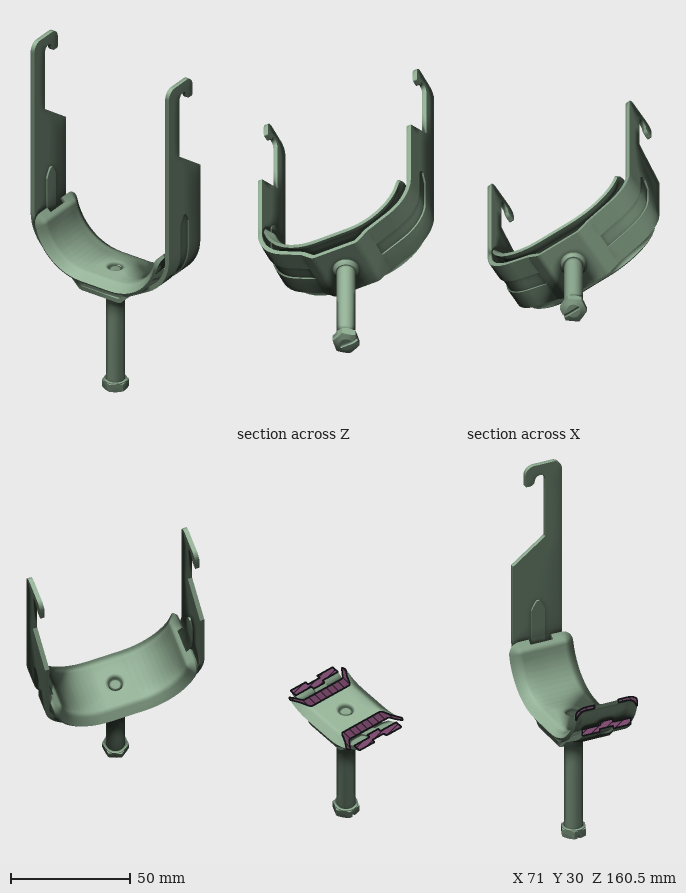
import cadquery as cq
import math


STRAP_HALF_WIDTH_X = 35.5
STRAP_HALF_WIDTH_Y = 11.4
STRAP_THICKNESS = 2.0
STRAP_TOP = 160.5
BASE_BOTTOM = 49.8
BASE_BEND_RADIUS = 3.2
DIP_X = 15.4
DIP_Z = 54.9
DIP_ANGLE = 45.0
WALL_ANGLE = 30.0
SHOULDER_RADIUS = 21.0

SHOULDER_FRONT_Z = 125.7
SHOULDER_BACK_Z = 114.8
NOTCH_DIAMETER = 5.0
NOTCH_FRONT_Y = -3.7
NOTCH_TOP = 155.5
HOOK_BACK_Y = 5.6
HOOK_TIP_Z = 151.2
HOOK_CORNER_RADIUS = 4.0
HOOK_TIP_OUTER_RADIUS = 0.6
HOOK_TIP_INNER_RADIUS = 2.1

RIB_DEPTH = 0.8
RIB_HALF_WIDTH = 3.0
RIB_TOP = 96.0
RIB_POINT_HEIGHT = 4.2
RIB_TIP_HALF_WIDTH = 0.6
RIB_SHOULDER_HALF_WIDTH = 2.1

COLLAR_TOP_RADIUS = 5.6
COLLAR_MIDDLE_RADIUS = 5.3
COLLAR_BOTTOM_RADIUS = 4.5
COLLAR_HEIGHT = 2.1

SADDLE_TOP = 59.2
SADDLE_THICKNESS = 1.3
SADDLE_FLAT_HALF_LENGTH = 7.46
SADDLE_RADIUS = 20.5
SADDLE_SWEEP = 77.0
SADDLE_HALF_WIDTH = 15.0
FLANGE_START_Y = 10.0
FLANGE_ANGLE = 34.0
FLANGE_BEND_RADIUS = 3.4
END_NOTCH_X = 29.5
END_NOTCH_HALF_WIDTH = 5.3
HOLE_DIAMETER = 6.0
HOLE_MOUTH_DIAMETER = 9.6

SHANK_DIAMETER = 8.0
SHANK_TOP = 53.1
HEAD_FLATS = 10.0
HEAD_HEIGHT = 5.0
HEAD_TURN = 38.0
HEAD_FACE_RADIUS = 2.9
HEAD_CHAMFER_HEIGHT = 1.1
WASHER_FACE_HEIGHT = 0.5
SLOT_WIDTH = 1.5
SLOT_DEPTH = 2.4
TIP_COLLAR_DIAMETER = 6.6
TIP_COLLAR_Z = 54.1
TIP_COLLAR_TOP = 54.9
NECK_DIAMETER = 5.0
TIP_FACE_DIAMETER = 4.0
TIP_TOP = 58.0

LARGE = 321.0


def box(x0, x1, y0, y1, z0, z1):
    """Axis-aligned block between the given limits."""
    return cq.Workplane().box(x1 - x0, y1 - y0, z1 - z0, centered=False).translate((x0, y0, z0))


def turned(points):
    """Solid of revolution about Z from (radius, height) points."""
    return cq.Workplane("XZ").polyline(points).close().revolve(360, (0, 0), (0, 1))


def strap_envelope():
    """Filled U outline of the strap's outer face, as deep as the strap is wide."""
    wall = math.radians(WALL_ANGLE)
    arc_centre_x = STRAP_HALF_WIDTH_X - SHOULDER_RADIUS
    wall_top_x = arc_centre_x + SHOULDER_RADIUS * math.sin(wall)
    wall_top_z = DIP_Z + (wall_top_x - DIP_X) * math.tan(wall)
    arc_centre_z = wall_top_z + SHOULDER_RADIUS * math.cos(wall)
    mid = math.radians((90 - WALL_ANGLE) / 2)
    arc_mid_x = arc_centre_x + SHOULDER_RADIUS * math.cos(mid)
    arc_mid_z = arc_centre_z - SHOULDER_RADIUS * math.sin(mid)

    dip = math.radians(DIP_ANGLE)
    base_corner_x = DIP_X - (DIP_Z - BASE_BOTTOM) / math.tan(dip)
    setback = BASE_BEND_RADIUS * math.tan(dip / 2)
    base_end_x = base_corner_x - setback
    bend_top_x = base_corner_x + setback * math.cos(dip)
    bend_top_z = BASE_BOTTOM + setback * math.sin(dip)
    bend_mid_x = base_end_x + BASE_BEND_RADIUS * math.sin(dip / 2)
    bend_mid_z = BASE_BOTTOM + BASE_BEND_RADIUS * (1 - math.cos(dip / 2))

    open_top = STRAP_TOP + 2 * STRAP_THICKNESS
    return (
        cq.Workplane("XZ", origin=(0, STRAP_HALF_WIDTH_Y, 0))
        .moveTo(-base_end_x, BASE_BOTTOM)
        .lineTo(base_end_x, BASE_BOTTOM)
        .threePointArc((bend_mid_x, bend_mid_z), (bend_top_x, bend_top_z))
        .lineTo(DIP_X, DIP_Z)
        .lineTo(wall_top_x, wall_top_z)
        .threePointArc((arc_mid_x, arc_mid_z), (STRAP_HALF_WIDTH_X, arc_centre_z))
        .lineTo(STRAP_HALF_WIDTH_X, open_top)
        .lineTo(-STRAP_HALF_WIDTH_X, open_top)
        .lineTo(-STRAP_HALF_WIDTH_X, arc_centre_z)
        .threePointArc((-arc_mid_x, arc_mid_z), (-wall_top_x, wall_top_z))
        .lineTo(-DIP_X, DIP_Z)
        .lineTo(-bend_top_x, bend_top_z)
        .threePointArc((-bend_mid_x, bend_mid_z), (-base_end_x, BASE_BOTTOM))
        .close()
    )


def strap_fill(inset):
    """Solid bounded by the strap's outer face moved inwards by inset."""
    outline = strap_envelope()
    if inset > 0:
        outline = outline.offset2D(-inset)
    return outline.extrude(2 * STRAP_HALF_WIDTH_Y)


def arm_silhouette():
    """Side shape of the arms with their hooks, running through the full length in X."""
    notch_radius = NOTCH_DIAMETER / 2
    notch_back_y = NOTCH_FRONT_Y + NOTCH_DIAMETER
    notch_centre_z = NOTCH_TOP - notch_radius
    blank = (
        cq.Workplane("YZ", origin=(-LARGE / 2, 0, 0))
        .moveTo(-STRAP_HALF_WIDTH_Y, 0)
        .lineTo(-STRAP_HALF_WIDTH_Y, STRAP_TOP)
        .lineTo(HOOK_BACK_Y, STRAP_TOP)
        .lineTo(HOOK_BACK_Y, HOOK_TIP_Z)
        .lineTo(notch_back_y, HOOK_TIP_Z)
        .lineTo(notch_back_y, notch_centre_z)
        .threePointArc(
            (notch_back_y - notch_radius, NOTCH_TOP), (NOTCH_FRONT_Y, notch_centre_z)
        )
        .lineTo(NOTCH_FRONT_Y, SHOULDER_FRONT_Z)
        .lineTo(STRAP_HALF_WIDTH_Y, SHOULDER_BACK_Z)
        .lineTo(STRAP_HALF_WIDTH_Y, 0)
        .close()
        .extrude(LARGE)
    )
    tip_edges = (
        (HOOK_BACK_Y, HOOK_TIP_OUTER_RADIUS),
        (notch_back_y, HOOK_TIP_INNER_RADIUS),
    )
    for edge_y, radius in tip_edges:
        edge = cq.selectors.NearestToPointSelector((0, edge_y, HOOK_TIP_Z))
        blank = blank.edges("|X").edges(edge).fillet(radius)
    return blank.faces(">Z").edges("|X").fillet(HOOK_CORNER_RADIUS)


def rib_zone(side):
    """Region of one arm (side = -1 or 1) taken up by its rib."""
    point_base_z = RIB_TOP - RIB_POINT_HEIGHT
    curve_z = RIB_TOP - RIB_POINT_HEIGHT / 2
    arch = (
        cq.Workplane("YZ", origin=(-LARGE / 2, 0, 0))
        .moveTo(-RIB_HALF_WIDTH, 0)
        .lineTo(RIB_HALF_WIDTH, 0)
        .lineTo(RIB_HALF_WIDTH, point_base_z)
        .threePointArc((RIB_SHOULDER_HALF_WIDTH, curve_z), (RIB_TIP_HALF_WIDTH, RIB_TOP))
        .lineTo(-RIB_TIP_HALF_WIDTH, RIB_TOP)
        .threePointArc((-RIB_SHOULDER_HALF_WIDTH, curve_z), (-RIB_HALF_WIDTH, point_base_z))
        .close()
        .extrude(LARGE)
    )
    wall = math.radians(WALL_ANGLE)
    reach = 2 * STRAP_THICKNESS
    across_x = reach * math.sin(wall)
    across_z = reach * math.cos(wall)
    beyond_dip = (
        cq.Workplane("XZ", origin=(0, STRAP_HALF_WIDTH_Y, 0))
        .moveTo(side * (DIP_X + across_x), DIP_Z - across_z)
        .lineTo(side * (DIP_X - across_x), DIP_Z + across_z)
        .lineTo(side * (DIP_X - across_x), STRAP_TOP)
        .lineTo(side * 2 * STRAP_HALF_WIDTH_X, STRAP_TOP)
        .lineTo(side * 2 * STRAP_HALF_WIDTH_X, DIP_Z - across_z)
        .close()
        .extrude(2 * STRAP_HALF_WIDTH_Y)
    )
    return arch.intersect(beyond_dip)


def threaded_collar():
    """Tapered collar formed below the base around the bolt hole."""
    collar_bottom = BASE_BOTTOM - COLLAR_HEIGHT
    return turned([
        (0, BASE_BOTTOM),
        (COLLAR_TOP_RADIUS, BASE_BOTTOM),
        (COLLAR_MIDDLE_RADIUS, BASE_BOTTOM - COLLAR_HEIGHT / 2),
        (COLLAR_BOTTOM_RADIUS, collar_bottom),
        (0, collar_bottom),
    ])


def make_strap():
    inner_fill = strap_fill(STRAP_THICKNESS)
    strap = strap_fill(0).cut(inner_fill).intersect(arm_silhouette())
    rib_layer = inner_fill.cut(strap_fill(STRAP_THICKNESS + RIB_DEPTH))
    groove_layer = strap_fill(0).cut(strap_fill(RIB_DEPTH))
    for side in (-1, 1):
        zone = rib_zone(side)
        strap = strap.union(rib_layer.intersect(zone)).cut(groove_layer.intersect(zone))
    bolt_hole = cq.Workplane().circle(SHANK_DIAMETER / 2).extrude(SADDLE_TOP)
    return strap.union(threaded_collar()).cut(bolt_hole)


def flange_outline(plane, start):
    """Sheet section from the middle (u = 0) out to the flared rim that starts at u = start."""
    bend = math.radians(FLANGE_ANGLE)
    rim_u = start + SADDLE_HALF_WIDTH - FLANGE_START_Y
    inner_radius = FLANGE_BEND_RADIUS - SADDLE_THICKNESS
    bend_centre_v = SADDLE_TOP - FLANGE_BEND_RADIUS

    def on_bend(radius, angle):
        return (start + radius * math.sin(angle), bend_centre_v + radius * math.cos(angle))

    upper_end = on_bend(FLANGE_BEND_RADIUS, bend)
    rim_v = upper_end[1] - (rim_u - upper_end[0]) * math.tan(bend)
    rim_lower = (rim_u - SADDLE_THICKNESS * math.sin(bend), rim_v - SADDLE_THICKNESS * math.cos(bend))
    outline = cq.Workplane(plane).moveTo(0, SADDLE_TOP)
    if start > 0:
        outline = outline.lineTo(start, SADDLE_TOP)
    outline = (
        outline.threePointArc(on_bend(FLANGE_BEND_RADIUS, bend / 2), upper_end)
        .lineTo(rim_u, rim_v)
        .lineTo(*rim_lower)
        .lineTo(*on_bend(inner_radius, bend))
        .threePointArc(on_bend(inner_radius, bend / 2), on_bend(inner_radius, 0))
    )
    if start > 0:
        outline = outline.lineTo(0, SADDLE_TOP - SADDLE_THICKNESS)
    return outline.close()


def saddle_quarter():
    """The +X, +Y quarter of the saddle: flat, curved side, flared end and rounded corner."""
    end_x = SADDLE_FLAT_HALF_LENGTH
    axis_z = SADDLE_TOP + SADDLE_RADIUS
    flat = flange_outline("YZ", FLANGE_START_Y).extrude(end_x)
    curved = (
        flange_outline(cq.Plane.YZ((end_x, 0, 0)), FLANGE_START_Y)
        .revolve(SADDLE_SWEEP, (0, axis_z), (-1, axis_z))
    )
    end_plane = cq.Plane.XZ((end_x, FLANGE_START_Y, 0))
    end_flare = flange_outline(end_plane, 0).extrude(FLANGE_START_Y)
    corner = flange_outline(end_plane, 0).revolve(90, (0, 0), (0, 1))
    end = (
        end_flare.union(corner)
        .rotate((end_x, 0, axis_z), (end_x, -1, axis_z), SADDLE_SWEEP)
    )
    return flat.union(curved).union(end)


def rounded_hole():
    """Hole for the bolt tip, opening out to the upper face with a rounded rim."""
    bottom = SADDLE_TOP - SADDLE_THICKNESS
    hole_radius = HOLE_DIAMETER / 2
    rim_width = HOLE_MOUTH_DIAMETER / 2 - hole_radius
    mid = math.radians(45)
    rim_mid_radius = hole_radius + rim_width * (1 - math.cos(mid))
    rim_mid_z = bottom + SADDLE_THICKNESS * math.sin(mid)
    return (
        cq.Workplane("XZ")
        .moveTo(0, bottom)
        .lineTo(hole_radius, bottom)
        .threePointArc((rim_mid_radius, rim_mid_z), (hole_radius + rim_width, SADDLE_TOP))
        .lineTo(0, SADDLE_TOP)
        .close()
        .revolve(360, (0, 0), (0, 1))
    )


def make_saddle():
    quarter = saddle_quarter()
    half = quarter.union(quarter.mirror("XZ"))
    saddle = half.union(half.mirror("YZ"))
    for x0, x1 in ((END_NOTCH_X, LARGE), (-LARGE, -END_NOTCH_X)):
        saddle = saddle.cut(box(x0, x1, -END_NOTCH_HALF_WIDTH, END_NOTCH_HALF_WIDTH, 0, STRAP_TOP))
    return saddle.cut(rounded_hole())


def bolt_head():
    """Chamfered hexagon head with a round washer face and a slot open towards -X."""
    corner_radius = HEAD_FLATS / math.sqrt(3)
    hexagon_height = HEAD_HEIGHT - WASHER_FACE_HEIGHT
    hexagon = (
        cq.Workplane().polygon(6, 2 * corner_radius).extrude(hexagon_height)
        .rotate((0, 0, 0), (0, 0, 1), HEAD_TURN)
    )
    chamfer = turned([
        (0, 0),
        (HEAD_FACE_RADIUS, 0),
        (corner_radius, HEAD_CHAMFER_HEIGHT),
        (corner_radius, HEAD_HEIGHT),
        (0, HEAD_HEIGHT),
    ])
    washer_face = cq.Workplane().circle(HEAD_FLATS / 2).extrude(WASHER_FACE_HEIGHT)
    head = hexagon.intersect(chamfer).union(washer_face.translate((0, 0, hexagon_height)))
    slot = box(-HEAD_FLATS, HEAD_FACE_RADIUS, -SLOT_WIDTH / 2, SLOT_WIDTH / 2, 0, SLOT_DEPTH)
    return head.cut(slot)


def make_bolt():
    """Head, shank, and a turned tip that reaches up to the hole in the saddle."""
    shank_radius = SHANK_DIAMETER / 2
    neck_radius = NECK_DIAMETER / 2
    tip_radius = TIP_FACE_DIAMETER / 2
    shaft = turned([
        (0, HEAD_HEIGHT),
        (shank_radius, HEAD_HEIGHT),
        (shank_radius, SHANK_TOP),
        (neck_radius, SHANK_TOP),
        (TIP_COLLAR_DIAMETER / 2, TIP_COLLAR_Z),
        (neck_radius, TIP_COLLAR_TOP),
        (neck_radius, TIP_TOP - (neck_radius - tip_radius)),
        (tip_radius, TIP_TOP),
        (0, TIP_TOP),
    ])
    return bolt_head().union(shaft)


strap = make_strap()
saddle = make_saddle()
bolt = make_bolt()

result = cq.Compound.makeCompound([
    strap.solids().val(),
    saddle.solids().val(),
    bolt.solids().val(),
])